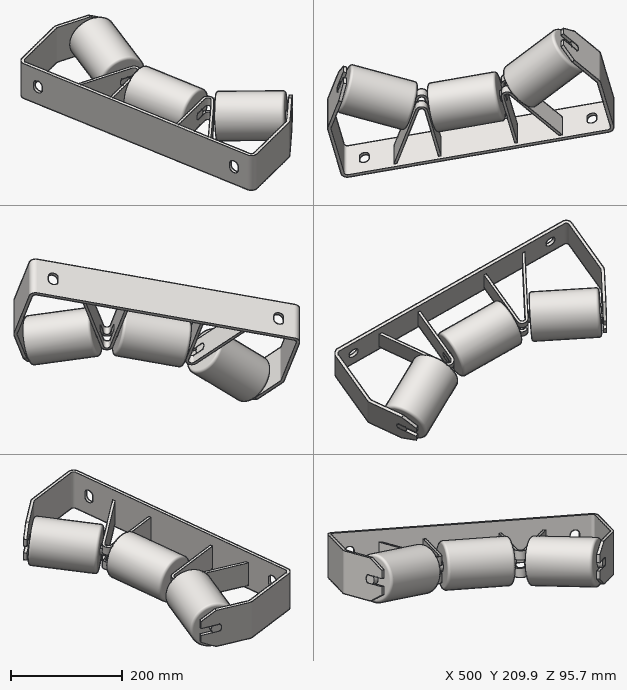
import cadquery as cq
import math

TILT = 30.0

FRAME_LENGTH = 500.0
FRAME_WIDTH = 80.0
FRAME_SHEET = 6.0
FRAME_BEND = 12.0
FLANGE_BEND_Y = 117.0
FLANGE_LENGTH = 93.5
TIP_CHAMFER_LONG = 29.0
TIP_CHAMFER_WIDE = 17.0
MOUNT_SLOT_SPACING = 417.0
MOUNT_SLOT_WIDTH = 18.0
MOUNT_SLOT_LENGTH = 26.5

BRACKET_WIDTH = 50.0
BRACKET_SHEET = 5.0
BRACKET_BEND = 11.0
BRACKET_FACE_X = 67.5
BRACKET_BEND_Y = 115.5

ROLLER_DIAMETER = 89.0
ROLLER_LENGTH = 125.0
ROLLER_FILLET = 5.0
SHAFT_DIAMETER = 20.0
SHAFT_FLATS = 15.0
SHAFT_NECK = 2.5
SHAFT_LENGTH = 145.0
SHAFT_DROP = 7.5

CENTRE_ROLLER_Y = 99.0
SIDE_ROLLER_X = 153.5
SIDE_ROLLER_Y = 142.0

FRAME_BOTTOM = -FRAME_WIDTH / 2
COS_TILT = math.cos(math.radians(TILT))
SIN_TILT = math.sin(math.radians(TILT))
SHAFT_DIP = math.asin(SHAFT_DROP / SHAFT_LENGTH)
BRACKET_BEND_X = -BRACKET_FACE_X - BRACKET_BEND
SLOT_REACH = 40.0
SLOT_DEPTH = BRACKET_BEND

CENTRE_SHAFT = cq.Plane(
    origin=(0, CENTRE_ROLLER_Y, -SHAFT_DROP), xDir=(0, 1, 0), normal=(1, 0, 0)
)
LEFT_SHAFT = cq.Plane(
    origin=(-SIDE_ROLLER_X, SIDE_ROLLER_Y, -SHAFT_DROP / 2),
    xDir=(SIN_TILT, COS_TILT, 0),
    normal=(COS_TILT * math.cos(SHAFT_DIP), -SIN_TILT * math.cos(SHAFT_DIP), -math.sin(SHAFT_DIP)),
)


def on_circle(centre, radius, angle):
    """Point on a circle, with the angle in degrees from +X."""
    turn = math.radians(angle)
    return (centre[0] + radius * math.cos(turn), centre[1] + radius * math.sin(turn))


def mirrored(body):
    """Copy of a body on the other side of X = 0."""
    return body.mirror("YZ")


def centred_rod(plane, diameter, length):
    """Round rod along the plane normal, centred on the plane origin."""
    return cq.Workplane(plane).workplane(offset=-length / 2).circle(diameter / 2).extrude(length)


def make_shaft(plane):
    """Round shaft with two flats at each end."""
    shaft = centred_rod(plane, SHAFT_DIAMETER, SHAFT_LENGTH)
    flat_bar = cq.Workplane(plane).box(SHAFT_DIAMETER, SHAFT_FLATS, SHAFT_LENGTH)
    round_length = ROLLER_LENGTH + 2 * SHAFT_NECK
    round_bar = centred_rod(plane, SHAFT_DIAMETER, round_length)
    return shaft.intersect(flat_bar).union(round_bar)


def make_roller(plane):
    """Roller with rounded rims, in one piece with its shaft."""
    roller = centred_rod(plane, ROLLER_DIAMETER, ROLLER_LENGTH)
    return roller.edges("%CIRCLE").fillet(ROLLER_FILLET).union(make_shaft(plane))


def make_shaft_slot(plane):
    """Cutter for the open slots that hold the two flatted ends of one shaft."""
    length = SHAFT_LENGTH + 2 * SLOT_DEPTH
    seat = centred_rod(plane, SHAFT_DIAMETER, length)
    flats = cq.Workplane(plane).box(SHAFT_DIAMETER, SHAFT_FLATS, length)
    mouth = cq.Workplane(plane).center(SLOT_REACH / 2, 0).box(SLOT_REACH, SHAFT_FLATS, length)
    return seat.intersect(flats).union(mouth)


def make_left_frame_half():
    """Left half of the bent strip: base, side wall and inclined flange with a chamfered tip."""
    inner_bend = FRAME_BEND - FRAME_SHEET
    corner = (-FRAME_LENGTH / 2 + FRAME_BEND, FRAME_BEND)
    shoulder = (corner[0], FLANGE_BEND_Y)
    flange_end = 180 - TILT

    def flange_tip(radius):
        root = on_circle(shoulder, radius, flange_end)
        return (root[0] + FLANGE_LENGTH * SIN_TILT, root[1] + FLANGE_LENGTH * COS_TILT)

    outer_tip = flange_tip(FRAME_BEND)
    strip = (
        cq.Workplane("XY", origin=(0, 0, FRAME_BOTTOM))
        .lineTo(corner[0], 0)
        .threePointArc(on_circle(corner, FRAME_BEND, 225), on_circle(corner, FRAME_BEND, 180))
        .lineTo(*on_circle(shoulder, FRAME_BEND, 180))
        .threePointArc(
            on_circle(shoulder, FRAME_BEND, 180 - TILT / 2), on_circle(shoulder, FRAME_BEND, flange_end)
        )
        .lineTo(*outer_tip)
        .lineTo(*flange_tip(inner_bend))
        .lineTo(*on_circle(shoulder, inner_bend, flange_end))
        .threePointArc(on_circle(shoulder, inner_bend, 180 - TILT / 2), on_circle(shoulder, inner_bend, 180))
        .lineTo(*on_circle(corner, inner_bend, 180))
        .threePointArc(on_circle(corner, inner_bend, 225), on_circle(corner, inner_bend, 270))
        .lineTo(0, FRAME_SHEET)
        .close()
        .extrude(FRAME_WIDTH)
    )

    tip_plane = cq.Plane(
        origin=(*outer_tip, 0), xDir=(SIN_TILT, COS_TILT, 0), normal=(-COS_TILT, SIN_TILT, 0)
    )
    for side in (-1, 1):
        edge = side * FRAME_WIDTH / 2
        corner_cut = (
            cq.Workplane(tip_plane)
            .polyline([(0, edge), (-TIP_CHAMFER_LONG, edge), (0, edge - side * TIP_CHAMFER_WIDE)])
            .close()
            .extrude(-FRAME_SHEET)
        )
        strip = strip.cut(corner_cut)
    return strip.cut(make_shaft_slot(LEFT_SHAFT))


def make_frame():
    left_half = make_left_frame_half()
    mount_slots = (
        cq.Workplane("XZ")
        .rarray(MOUNT_SLOT_SPACING, 5, 2, 1)
        .slot2D(MOUNT_SLOT_LENGTH, MOUNT_SLOT_WIDTH, 90)
        .extrude(-FRAME_SHEET)
    )
    return left_half.union(mirrored(left_half)).cut(mount_slots)


def make_left_bracket():
    """Bent strip with one upright and one sloping leg, both standing on the frame base."""
    inner_bend = BRACKET_BEND - BRACKET_SHEET
    bend = (BRACKET_BEND_X, BRACKET_BEND_Y)
    slope_start = 180 - TILT
    bend_middle = slope_start / 2

    def slope_foot(radius):
        root = on_circle(bend, radius, slope_start)
        return (root[0] - (root[1] - FRAME_SHEET) * SIN_TILT / COS_TILT, FRAME_SHEET)

    strip = (
        cq.Workplane("XY", origin=(0, 0, -SHAFT_DROP - BRACKET_WIDTH / 2))
        .moveTo(bend[0] + BRACKET_BEND, FRAME_SHEET)
        .lineTo(*on_circle(bend, BRACKET_BEND, 0))
        .threePointArc(on_circle(bend, BRACKET_BEND, bend_middle), on_circle(bend, BRACKET_BEND, slope_start))
        .lineTo(*slope_foot(BRACKET_BEND))
        .lineTo(*slope_foot(inner_bend))
        .lineTo(*on_circle(bend, inner_bend, slope_start))
        .threePointArc(on_circle(bend, inner_bend, bend_middle), on_circle(bend, inner_bend, 0))
        .lineTo(bend[0] + inner_bend, FRAME_SHEET)
        .close()
        .extrude(BRACKET_WIDTH)
    )
    return strip.cut(make_shaft_slot(CENTRE_SHAFT)).cut(make_shaft_slot(LEFT_SHAFT))


frame = make_frame()

left_bracket = make_left_bracket()
brackets = [left_bracket, mirrored(left_bracket)]

left_roller = make_roller(LEFT_SHAFT)
rollers = [left_roller, make_roller(CENTRE_SHAFT), mirrored(left_roller)]

bodies = [frame, *brackets, *rollers]
result = cq.Compound.makeCompound([body.solids().val() for body in bodies])